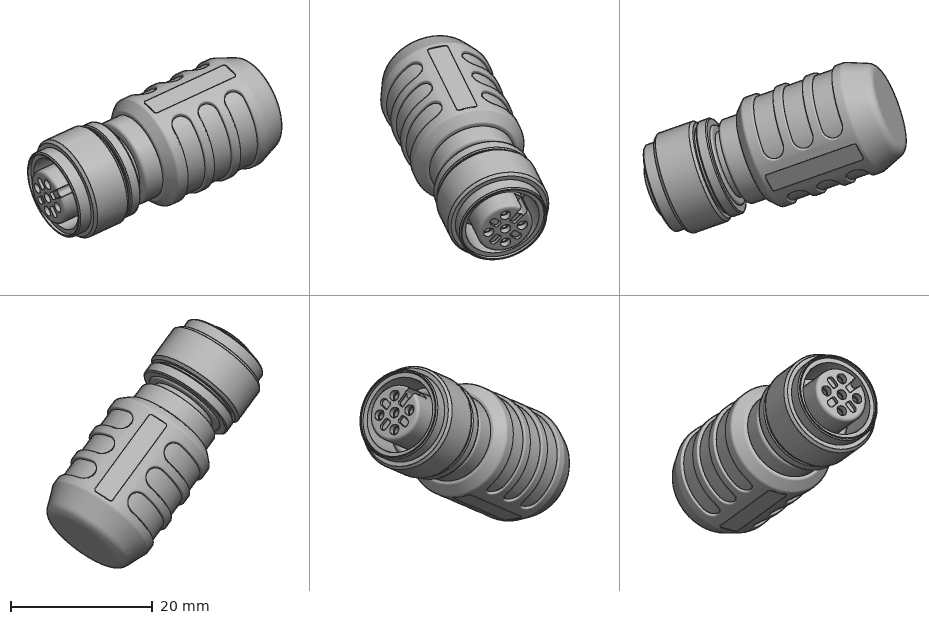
import cadquery as cq
import math

length = 36.2

sleeve_start = 1.0
nut_start = 2.97
nut_end = 8.98
ring_start = 9.4
ring_end = 11.1
shoulder_end = 11.48
collar_start = 12.5
grip_start = 15.5
grip_front_rim = 16.9
grip_rear_rim = 32.15

sleeve_radius = 13.0 / 2
nut_radius = 15.0 / 2
ring_radius = 14.25 / 2
shoulder_radius = 12.0 / 2
neck_radius = 9.8 / 2
collar_radius = 12.6 / 2
grip_radius = 16.4 / 2
grip_front_radius = 6.8
grip_rear_radius = 6.62

sleeve_chamfer = 0.18
nut_chamfer_axial = 0.45
nut_chamfer_radial = 0.35
ring_chamfer = 0.18
shoulder_round = 0.3
collar_round = 0.5
grip_front_round = 0.47
grip_nose_round = 0.35
grip_rear_round = 0.7
grip_end_round = 1.55

lip_radius = 12.3 / 2
lip_depth = 0.47
bore_radius = 10.95 / 2
bore_floor = 7.95
insert_radius = 4.05
insert_round = 0.47
contact_pitch_radius = 2.5
contact_count = 4
contact_mouth_diameter = 1.5
contact_mouth_depth = 0.95
contact_bore_diameter = 1.15
contact_bore_depth = 4.35
recess_inner_radius = 1.35
recess_outer_radius = 3.05
recess_width = 1.1
recess_depth = 0.5
recess_inner_round = 0.25
recess_outer_round = 0.47
key_angle = 45.0
key_center_radius = 3.4
key_width = 1.25
key_depth = 3.25

groove_count = 3
groove_pitch = 4.52
groove_middle = 24.7
groove_width = 3.08
groove_tip_x = 3.0
groove_floor_radius = 7.8
groove_edge_round = 0.18
label_width = 3.0
label_start = 17.6
label_end = 31.6
label_height = 8.05
label_corner = 0.35


def cylinder(start, end, radius):
    """Round section on the Y axis from start to end."""
    return cq.Workplane("XZ", origin=(0, start, 0)).circle(radius).extrude(start - end)


def make_grip():
    grip = (
        cq.Workplane("XY")
        .moveTo(0, grip_start)
        .lineTo(grip_front_radius, grip_start)
        .lineTo(grip_radius, grip_front_rim)
        .lineTo(grip_radius, grip_rear_rim)
        .lineTo(grip_rear_radius, length)
        .lineTo(0, length)
        .close()
        .revolve(360, (0, 0, 0), (0, 1, 0))
    )
    grip = grip.faces(">Y").edges().fillet(grip_end_round)
    grip = grip.faces("<Y").edges().fillet(grip_nose_round)
    for rim, rounding in ((grip_front_rim, grip_front_round), (grip_rear_rim, grip_rear_round)):
        margin = 0.05
        rim_box = cq.selectors.BoxSelector(
            (-length, rim - margin, -length), (length, rim + margin, length), boundingbox=True
        )
        grip = grip.edges("%CIRCLE").edges(rim_box).fillet(rounding)
    return grip


def groove_cutter(center_y):
    """Pair of round-ended cutters that leave a round core, one on each side of the grip."""
    tip_center = groove_tip_x + groove_width / 2
    reach = 2 * grip_radius
    side = (
        cq.Workplane("XY", origin=(0, 0, -grip_radius))
        .moveTo(reach, center_y - groove_width / 2)
        .lineTo(tip_center, center_y - groove_width / 2)
        .threePointArc((groove_tip_x, center_y), (tip_center, center_y + groove_width / 2))
        .lineTo(reach, center_y + groove_width / 2)
        .close()
        .extrude(2 * grip_radius)
    )
    core = cylinder(center_y - groove_width, center_y + groove_width, groove_floor_radius)
    return side.union(side.mirror("YZ")).cut(core)


def is_groove_mouth(edge):
    """True for a curved edge on the grip's outer surface, well inside its two rims."""
    tolerance = 0.005
    rim_clearance = 1.1
    for fraction in (0.25, 0.5, 0.75):
        point = edge.positionAt(fraction)
        on_surface = abs(math.hypot(point.x, point.z) - grip_radius) < tolerance
        between_rims = grip_front_rim + rim_clearance < point.y < grip_rear_rim - rim_clearance
        if not (on_surface and between_rims):
            return False
    is_seam = edge.geomType() == "LINE"
    return not is_seam


def cut_grooves(grip):
    for index in range(groove_count):
        center_y = groove_middle + (index - (groove_count - 1) / 2) * groove_pitch
        grip = grip.cut(groove_cutter(center_y))
    return grip.edges().filter(is_groove_mouth).fillet(groove_edge_round)


def cut_labels(grip):
    """Shallow flat pads with rounded corners above and below."""
    pad = (
        cq.Workplane("XY", origin=(0, (label_start + label_end) / 2, label_height))
        .rect(label_width, label_end - label_start)
        .extrude(grip_radius)
        .edges("|Z")
        .fillet(label_corner)
    )
    return grip.cut(pad).cut(pad.mirror("XY"))


def make_nut():
    nut = cylinder(nut_start, nut_end, nut_radius)
    return nut.faces("<Y or >Y").edges().chamfer(nut_chamfer_axial, nut_chamfer_radial)


def make_body():
    sleeve = cylinder(sleeve_start, ring_start, sleeve_radius).faces("<Y").chamfer(sleeve_chamfer)
    ring = cylinder(ring_start, ring_end, ring_radius).faces("<Y or >Y").chamfer(ring_chamfer)
    shoulder = cylinder(ring_end, shoulder_end, shoulder_radius).faces(">Y").edges().fillet(shoulder_round)
    neck = cylinder(shoulder_end, collar_start, neck_radius)
    collar = cylinder(collar_start, grip_start, collar_radius).faces("<Y").edges().fillet(collar_round)
    grip = cut_labels(cut_grooves(make_grip()))
    body = sleeve
    for section in (make_nut(), ring, shoulder, neck, collar, grip):
        body = body.union(section)
    return body


def cut_socket(body):
    lip = cylinder(sleeve_start, sleeve_start + lip_depth, lip_radius)
    bore = cylinder(sleeve_start, bore_floor, bore_radius)
    return body.cut(lip).cut(bore)


def make_seal():
    """Sealing ring lying on the bore floor, filling the gap around the insert."""
    ring_middle = (bore_radius + insert_radius) / 2
    return (
        cq.Workplane("XY")
        .center(ring_middle, bore_floor)
        .circle((bore_radius - insert_radius) / 2)
        .revolve(360, (-ring_middle, 0, 0), (-ring_middle, 1, 0))
    )


def drill(x, z, diameter, depth):
    return cylinder(0, depth, diameter / 2).translate((x, 0, z))


def recess_cutter(angle, outer_radius):
    """Shallow radial recess in the insert face, turned about Y to the given angle."""
    cutter = (
        cq.Workplane("XZ", origin=((recess_inner_radius + outer_radius) / 2, 0, 0))
        .rect(outer_radius - recess_inner_radius, recess_width)
        .extrude(-recess_depth)
    )
    cutter = cutter.edges("|Y and <X").fillet(recess_inner_round)
    cutter = cutter.edges("|Y and >X").fillet(recess_outer_round)
    return cutter.rotate((0, 0, 0), (0, 1, 0), -angle)


def key_cutter():
    """Round-bottomed keyway that opens through the side of the insert."""
    round_bottom = drill(key_center_radius, 0, key_width, key_depth)
    opening = (
        cq.Workplane("XZ", origin=((key_center_radius + insert_radius) / 2, 0, 0))
        .rect(insert_radius - key_center_radius, key_width)
        .extrude(-key_depth)
    )
    return round_bottom.union(opening).rotate((0, 0, 0), (0, 1, 0), -key_angle)


def make_insert():
    insert = cylinder(0, bore_floor, insert_radius).faces("<Y").edges().fillet(insert_round)
    step = 360 / contact_count
    contacts = [(0, 0)]
    for index in range(contact_count):
        turn = math.radians(index * step)
        contacts.append((contact_pitch_radius * math.cos(turn), contact_pitch_radius * math.sin(turn)))
    for x, z in contacts:
        insert = insert.cut(drill(x, z, contact_mouth_diameter, contact_mouth_depth))
        insert = insert.cut(drill(x, z, contact_bore_diameter, contact_bore_depth))
    for index in range(contact_count):
        outer_radius = key_center_radius if index == 0 else recess_outer_radius
        insert = insert.cut(recess_cutter(key_angle + index * step, outer_radius))
    return insert.cut(key_cutter())


result = cut_socket(make_body()).union(make_seal()).union(make_insert())